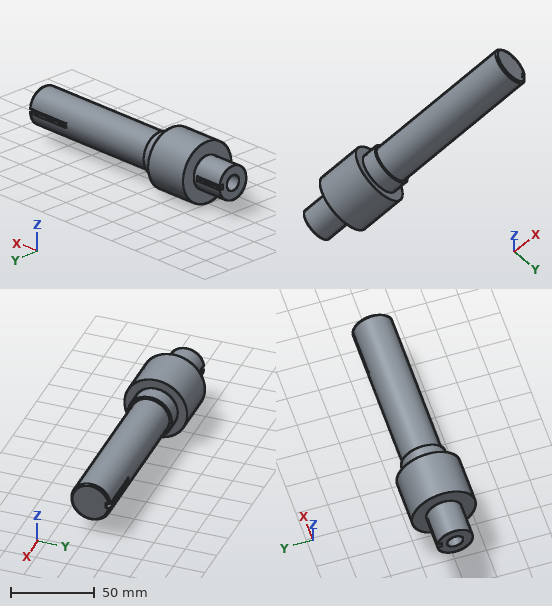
import cadquery as cq
import math

total_length = 162.0
nose_length = 22.0
collar_length = 30.0
shoulder_length = 10.0

nose_diameter = 22.2
collar_diameter = 40.0
shoulder_diameter = 28.0
shaft_diameter = 25.0

end_bevel = 1.0

hole_diameter = 10.0
hole_depth = 20.0
drill_point_angle = 118.0

keyway_width = 2.9
keyway_depth = 2.9
nose_keyway_length = 19.5
shaft_keyway_length = 31.5

collar_start = nose_length
shoulder_start = collar_start + collar_length
shaft_start = shoulder_start + shoulder_length


def cylinder(start, length, diameter):
    """Solid cylinder on the X axis."""
    return cq.Workplane("YZ", origin=(start, 0, 0)).circle(diameter / 2).extrude(length)


def beveled_shaft():
    shaft = cylinder(shaft_start, total_length - shaft_start, shaft_diameter)
    return shaft.faces(">X").chamfer(end_bevel)


def drilled_hole():
    """Straight bore followed by the cone left by the drill point."""
    radius = hole_diameter / 2
    point_length = radius / math.tan(math.radians(drill_point_angle / 2))
    half_section = (
        cq.Workplane("XY")
        .lineTo(0, radius)
        .lineTo(hole_depth, radius)
        .lineTo(hole_depth + point_length, 0)
        .close()
    )
    return half_section.revolve(360, (0, 0, 0), (1, 0, 0))


def keyway(start, length, diameter):
    """Square-ended, flat-floored slot reaching out past the surface on the +Y side."""
    floor = diameter / 2 - keyway_depth
    slot = cq.Workplane("XY").box(length, 2 * keyway_depth, keyway_width, centered=(False, False, True))
    return slot.translate((start, floor, 0))


body = (
    cylinder(0, nose_length, nose_diameter)
    .union(cylinder(collar_start, collar_length, collar_diameter))
    .union(cylinder(shoulder_start, shoulder_length, shoulder_diameter))
    .union(beveled_shaft())
)

nose_keyway = keyway(0, nose_keyway_length, nose_diameter)
shaft_keyway = keyway(total_length - shaft_keyway_length, shaft_keyway_length, shaft_diameter)

result = body.cut(drilled_hole()).cut(nose_keyway).cut(shaft_keyway)